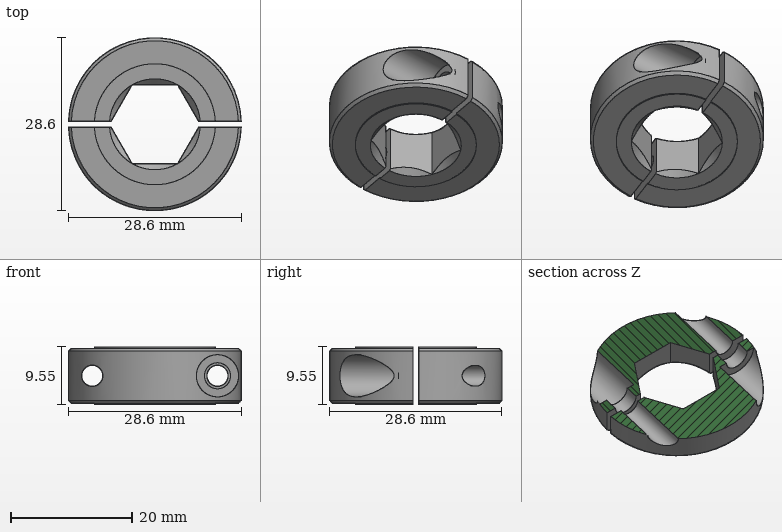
import cadquery as cq
import math

outer_diameter = 28.57
total_height = 9.55
rim_chamfer = 0.49

hub_diameter = 20.0
hub_rise = 0.23
body_height = total_height - 2 * hub_rise

hex_across_flats = 13.0
hex_across_corners = hex_across_flats / math.cos(math.radians(30))
bore_chamfer_angle = 45.0

split_gap = 0.95

screw_offset = 10.35
tapped_diameter = 3.45
clearance_diameter = 4.3
head_diameter = 6.97
head_seat_distance = 2.85


def collar_blank():
    body = cq.Workplane("XY").circle(outer_diameter / 2).extrude(body_height / 2, both=True)
    body = body.faces("|Z").edges().chamfer(rim_chamfer)
    hub = cq.Workplane("XY").circle(hub_diameter / 2).extrude(total_height / 2, both=True)
    return body.union(hub)


def hexagonal_bore():
    bore = cq.Workplane("XY").polygon(6, hex_across_corners).extrude(total_height / 2, both=True)
    mouth_radius = hex_across_corners / 2
    cone_depth = mouth_radius * math.tan(math.radians(bore_chamfer_angle))
    for side in (1, -1):
        mouth = cq.Vector(0, 0, side * total_height / 2)
        cone = cq.Solid.makeCone(mouth_radius, 0, cone_depth, mouth, cq.Vector(0, 0, -side))
        bore = bore.union(cq.Workplane(obj=cone))
    return bore


def screw_hole(diameter, x, start_y):
    """Cylinder at x running from start_y out through the -Y side."""
    length = outer_diameter / 2 + start_y
    return cq.Workplane("XZ", origin=(x, start_y, 0)).circle(diameter / 2).extrude(length)


def collar_half():
    """The half on the -Y side: screw head at +X, tapped hole at -X."""
    half_space = cq.Workplane("XY").box(
        outer_diameter, outer_diameter / 2, total_height, centered=(True, False, True)
    ).translate((0, -(outer_diameter + split_gap) / 2, 0))
    half = collar_blank().cut(hexagonal_bore()).intersect(half_space)
    half = half.cut(screw_hole(clearance_diameter, screw_offset, 0))
    half = half.cut(screw_hole(head_diameter, screw_offset, -head_seat_distance))
    return half.cut(screw_hole(tapped_diameter, -screw_offset, 0))


halves = [collar_half().rotate((0, 0, 0), (0, 0, 1), angle) for angle in (0, 180)]

result = cq.Compound.makeCompound([half.val() for half in halves])